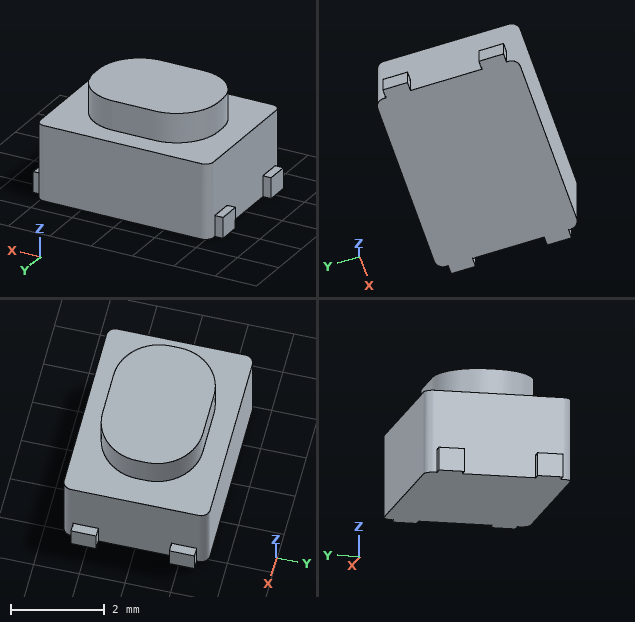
import cadquery as cq

overall_length = 4.6
overall_height = 2.5

body_length = 4.2
body_width = 3.2
body_height = 1.8
body_corner_radius = 0.2

button_length = 3.0
button_width = 2.2
button_corner_radius = 1.0
button_height = overall_height - body_height

terminal_width = 0.55
terminal_height = 0.5
terminal_offset = 1.075


def rounded_block(length, width, height, corner_radius, base_z):
    """Block centred on the Z axis with rounded vertical edges."""
    block = cq.Workplane("XY").workplane(offset=base_z).rect(length, width).extrude(height)
    return block.edges("|Z").fillet(corner_radius)


def terminal_pair(y):
    """Bar through the housing whose two ends stand out as terminals."""
    bar = cq.Workplane("XY").center(0, y).rect(overall_length, terminal_width)
    return bar.extrude(terminal_height)


housing = rounded_block(body_length, body_width, body_height, body_corner_radius, 0)
button = rounded_block(button_length, button_width, button_height, button_corner_radius, body_height)

result = housing.union(button)
for side in (-1, 1):
    result = result.union(terminal_pair(side * terminal_offset))